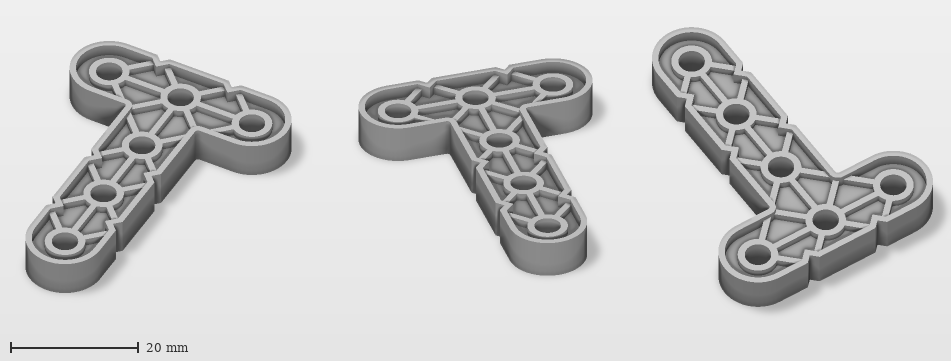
import cadquery as cq
import math

length = 50.5
thickness = 6.1
bar_width = 12.4

stem_hole_count = 3
pitch = (length - bar_width) / stem_hole_count
hole_diameter = 4.15
boss_diameter = 6.35

wall = 1.0
rib_width = 1.0
pocket_depth = 2.05
rib_recess = 0.8
notch_depth = 1.1
corner_radius = 0.5

floor_top = thickness - pocket_depth
rib_height = pocket_depth - rib_recess
half_width = bar_width / 2
half_pitch = pitch / 2

head_holes = [(-pitch, 0), (0, 0), (pitch, 0)]
stem_holes = [(0, -pitch * row) for row in range(1, stem_hole_count + 1)]
holes = head_holes + stem_holes

head_notches = [(side * half_pitch, half_pitch) for side in (-1, 1)]
inner_corners = [(side * half_pitch, -half_pitch) for side in (-1, 1)]
stem_notches = [
    (side * half_pitch, -half_pitch - pitch * row)
    for side in (-1, 1)
    for row in range(1, stem_hole_count)
]
diagonal_targets = head_notches + inner_corners + stem_notches


def make_notch(x, y):
    """Square prism on its corner; its inner corner is notch_depth inside the edge."""
    reach = half_pitch - (half_width - notch_depth)
    points = [(x - reach, y), (x, y - reach), (x + reach, y), (x, y + reach)]
    return cq.Workplane("XY").polyline(points).close().extrude(thickness)


def make_body():
    """Solid T with round ends, edge notches and filleted inner corners."""
    head = cq.Workplane("XY").slot2D(2 * pitch + bar_width, bar_width).extrude(thickness)
    stem = (
        cq.Workplane("XY")
        .center(0, -stem_hole_count * half_pitch)
        .slot2D(length, bar_width, 90)
        .extrude(thickness)
    )
    body = head.union(stem)
    for side in (-1, 1):
        corner = cq.selectors.NearestToPointSelector((side * half_width, -half_width, thickness / 2))
        body = body.edges("|Z").edges(corner).fillet(corner_radius)
    for x, y in head_notches + stem_notches:
        body = body.cut(make_notch(x, y))
    return body


def make_pocket(body):
    """Space inside the rim, following the outline at a constant wall thickness."""
    outline = body.faces(">Z").wires().val()
    inner_outline = outline.offset2D(-wall, "intersection")
    return cq.Workplane("XY").add(inner_outline).toPending().extrude(-pocket_depth)


def make_rib(start, end):
    """Straight rib standing on the pocket floor between two points."""
    run = end[0] - start[0]
    rise = end[1] - start[1]
    return (
        cq.Workplane("XY")
        .box(math.hypot(run, rise), rib_width, rib_height, centered=(True, True, False))
        .rotate((0, 0, 0), (0, 0, 1), math.degrees(math.atan2(rise, run)))
        .translate((start[0] + run / 2, start[1] + rise / 2, floor_top))
    )


def make_ribs_and_bosses():
    ribs = make_rib(head_holes[0], head_holes[-1])
    ribs = ribs.union(make_rib((0, 0), stem_holes[-1]))
    for hole in holes:
        for target in diagonal_targets:
            if math.dist(hole, target) < pitch:
                ribs = ribs.union(make_rib(hole, target))
    bosses = (
        cq.Workplane("XY", origin=(0, 0, floor_top))
        .pushPoints(holes)
        .circle(boss_diameter / 2)
        .extrude(rib_height)
    )
    return ribs.union(bosses)


body = make_body()
pocket = make_pocket(body)
hole_cutters = cq.Workplane("XY").pushPoints(holes).circle(hole_diameter / 2).extrude(thickness)

result = body.cut(pocket).union(make_ribs_and_bosses().intersect(pocket)).cut(hole_cutters)